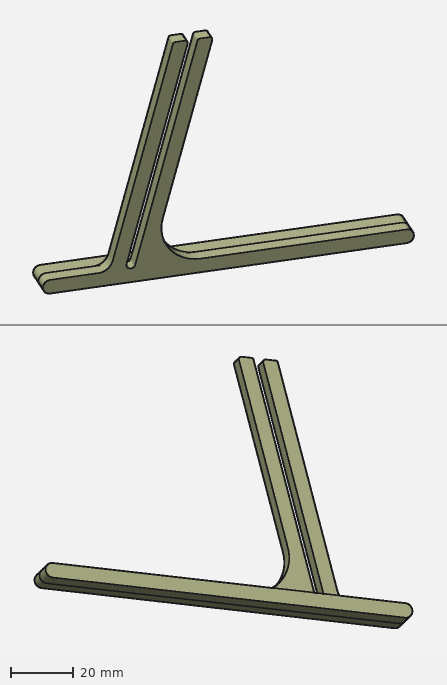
import cadquery as cq
import math

length = 125.0
rail_height = 5.0
side_rail_width = 6.0
stand_width = 5.0

total_height = 85.0
lean_angle = 15.0
arm_thickness = 5.0
slot_width = 3.0
front_foot_y = -40.0
tip_radius = 1.0
front_fillet_radius = 5.0
back_fillet_radius = 13.1

lean_slope = math.tan(math.radians(lean_angle))
lean_sine = math.sin(math.radians(lean_angle))
lean_cosine = math.cos(math.radians(lean_angle))
side_rail_x = -(side_rail_width + stand_width) / 2
stand_x = side_rail_x + side_rail_width
arms_thickness = 2 * arm_thickness + slot_width
slot_center_z = rail_height + slot_width / 2


def leaning_y(offset, z):
    """Y at height z on a plane set back by offset, square to the front face."""
    return front_foot_y + offset / lean_cosine + (z - rail_height) * lean_slope


def make_rail(x_start, width):
    """Flat rail with fully rounded ends."""
    return (
        cq.Workplane("YZ", origin=(x_start, 0, rail_height / 2))
        .slot2D(length, rail_height)
        .extrude(width)
    )


def make_arms_blank():
    """Leaning block that holds both arms, reaching down into the rail."""
    bottom_z = rail_height / 2
    outline = [
        (leaning_y(0, bottom_z), bottom_z),
        (leaning_y(arms_thickness, bottom_z), bottom_z),
        (leaning_y(arms_thickness, total_height), total_height),
        (leaning_y(0, total_height), total_height),
    ]
    return cq.Workplane("YZ", origin=(stand_x, 0, 0)).polyline(outline).close().extrude(stand_width)


def foot_edge(offset):
    """Selector for the edge where a leaning face meets the rail top."""
    return cq.selectors.NearestToPointSelector(
        (stand_x + stand_width / 2, leaning_y(offset, rail_height), rail_height)
    )


def make_slot():
    """Gap between the arms, open at the top, with a round bottom touching the rail top."""
    radius = slot_width / 2
    middle = arms_thickness / 2
    center_y = leaning_y(middle, slot_center_z)
    across_y = radius * lean_cosine
    across_z = radius * lean_sine
    return (
        cq.Workplane("YZ", origin=(stand_x, 0, 0))
        .moveTo(leaning_y(middle - radius, total_height), total_height)
        .lineTo(center_y - across_y, slot_center_z + across_z)
        .threePointArc(
            (center_y - across_z, slot_center_z - across_y),
            (center_y + across_y, slot_center_z - across_z),
        )
        .lineTo(leaning_y(middle + radius, total_height), total_height)
        .close()
        .extrude(stand_width)
    )


def make_stand():
    """Rail carrying two parallel leaning arms with filleted feet."""
    stand = make_rail(stand_x, stand_width).union(make_arms_blank())
    stand = stand.edges(foot_edge(0)).fillet(front_fillet_radius)
    stand = stand.edges(foot_edge(arms_thickness)).fillet(back_fillet_radius)
    stand = stand.cut(make_slot())
    return stand.faces(">Z").edges("|X").fillet(tip_radius)


side_rail = make_rail(side_rail_x, side_rail_width)
stand = make_stand()

result = cq.Compound.makeCompound([side_rail.val(), stand.val()])